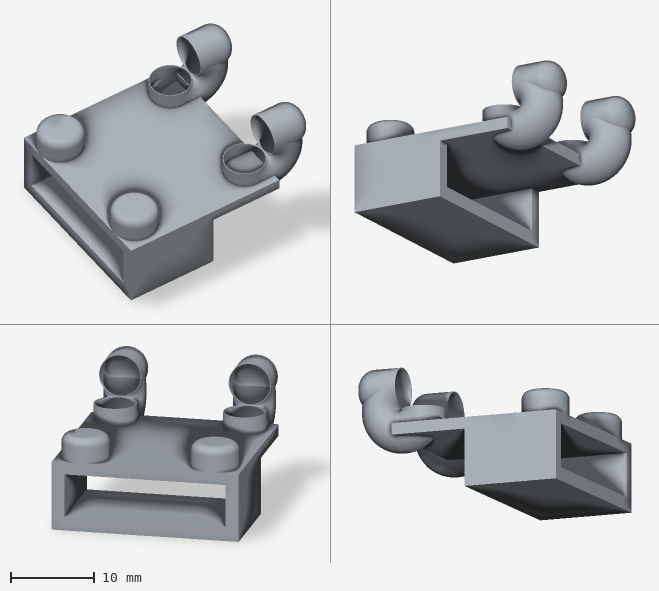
import cadquery as cq

WIDTH = 23.0
PLATE_LENGTH = 21.4
PLATE_THICKNESS = 1.42
SLEEVE_LENGTH = 11.92
HOUSING_HEIGHT = 8.43
SIDE_WALL = 1.6
FLOOR_THICKNESS = 1.65
PLATE_BOTTOM = -PLATE_THICKNESS

FITTING_SPACING = 15.92
STUD_RADIUS = 2.87
STUD_HEIGHT = 3.05
STUD_ROUND = 1.0
STUD_Y = STUD_RADIUS - PLATE_LENGTH

HOOK_RADIUS = 2.6
HOOK_WALL = 0.08
CUP_HEIGHT = 2.15
CAP_LENGTH = 5.45
CAP_ROUND = 2.0
BEND_CLEARANCE = 0.013
BEND_RADIUS = HOOK_RADIUS + BEND_CLEARANCE
BEND_ANGLE = 270
BEND_TUBE_RADIUS = HOOK_RADIUS - 0.03
RECESS_SKIN = HOOK_WALL

LEFT_X = -FITTING_SPACING / 2
RIGHT_X = FITTING_SPACING / 2


def make_block(width, y_start, y_end, z_bottom, z_top):
    """Box centred on X = 0 between the given Y and Z limits."""
    return cq.Workplane("XY").box(
        width, y_end - y_start, z_top - z_bottom, centered=(True, False, False)
    ).translate((0, y_start, z_bottom))


def make_plate():
    return make_block(WIDTH, -PLATE_LENGTH, 0, PLATE_BOTTOM, 0)


def make_stud(x):
    stud = cq.Workplane("XY").circle(STUD_RADIUS).extrude(STUD_HEIGHT)
    return stud.faces(">Z").edges().fillet(STUD_ROUND).translate((x, STUD_Y, 0))


def make_bend(x, inset):
    """Round bar bent from the cup, under the plate edge, up to the cap."""
    section = cq.Workplane("XY").center(0, -BEND_RADIUS).circle(BEND_TUBE_RADIUS - inset)
    bend = section.revolve(BEND_ANGLE, (0, BEND_RADIUS), (1, BEND_RADIUS))
    return bend.translate((x, 0, CUP_HEIGHT))


def make_cup(x, inset):
    """Upright cylinder standing on the plate."""
    cup = cq.Workplane("XY").circle(HOOK_RADIUS - inset).extrude(CUP_HEIGHT)
    return cup.translate((x, -BEND_RADIUS, 0))


def make_cap(x, inset):
    """Level cylinder with a rounded rear end."""
    cap = cq.Workplane("XZ").circle(HOOK_RADIUS - inset).extrude(-(CAP_LENGTH - inset))
    cap = cap.faces(">Y").edges().fillet(CAP_ROUND - inset)
    return cap.translate((x, 0, CUP_HEIGHT + BEND_RADIUS))


def make_hook_form(x, inset):
    return make_bend(x, inset).union(make_cup(x, inset)).union(make_cap(x, inset))


def make_hook(x):
    """Thin hook, open at the cup and cap mouths, fitted around the plate."""
    shell = make_hook_form(x, 0).cut(make_hook_form(x, HOOK_WALL))
    return shell.cut(make_plate())


def make_left_recess():
    """Recess in the plate continuing the inside of the left hook."""
    limits = make_block(WIDTH, -PLATE_LENGTH, -RECESS_SKIN, PLATE_BOTTOM + RECESS_SKIN, 0)
    return make_bend(LEFT_X, HOOK_WALL).intersect(limits)


def make_housing():
    sleeve_rear = SLEEVE_LENGTH - PLATE_LENGTH
    sleeve = make_block(WIDTH, -PLATE_LENGTH, sleeve_rear, -HOUSING_HEIGHT, 0)
    window = make_block(
        WIDTH - 2 * SIDE_WALL, -PLATE_LENGTH, sleeve_rear,
        FLOOR_THICKNESS - HOUSING_HEIGHT, PLATE_BOTTOM,
    )
    housing = make_plate().union(sleeve).cut(window)
    for x in (LEFT_X, RIGHT_X):
        housing = housing.union(make_stud(x))
    return housing.cut(make_left_recess())


housing = make_housing()
hooks = [make_hook(x) for x in (LEFT_X, RIGHT_X)]

result = cq.Compound.makeCompound([housing.val(), *[solid for hook in hooks for solid in hook.vals()]])